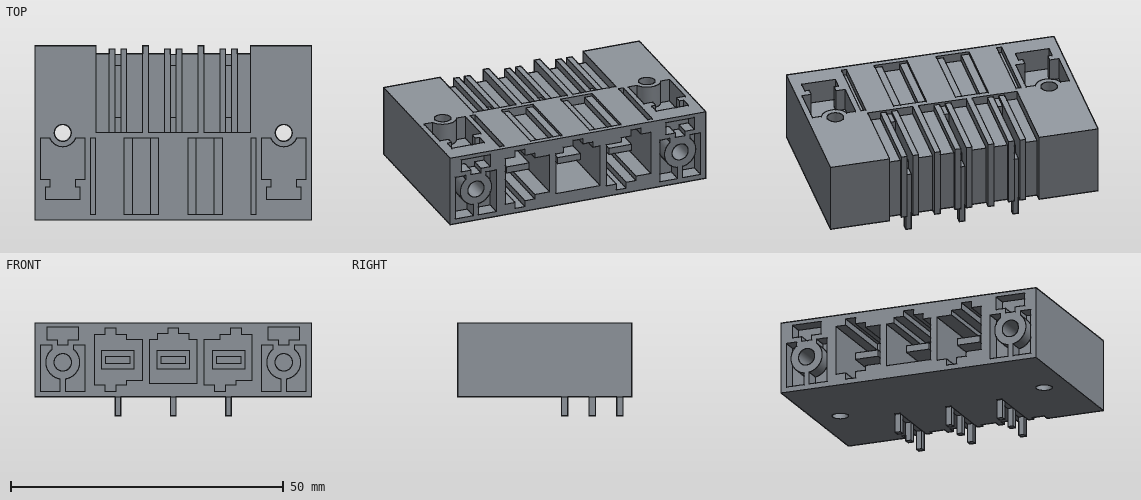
import cadquery as cq

LENGTH = 50.8
DEPTH = 32.0
HEIGHT = 13.6
MID_X = LENGTH / 2
MID_Z = HEIGHT / 2
PITCH = 10.16
POLE_CENTERS = [MID_X + k * PITCH for k in (-1, 0, 1)]

CAVITY_DEPTH = 15.0
CAVITY_WIDTH = 8.8
KEY_TOP_Z = 12.65
SHOULDER_HIGH_Z = 11.45
SHOULDER_LOW_Z = 10.55
OUTER_CAVITY_LEFT = 10.95
OUTER_KEY_START = 1.95
OUTER_KEY_END = 3.9
OUTER_STEP = 5.85
CENTER_KEY_HALF = 0.98
CENTER_STEP_HALF = 2.92
CENTER_HIGH_Z = 11.6
CENTER_FLOOR_Z = 2.45

FLANGE_X = 5.12
FRONT_POCKET_DEPTH = 3.0
RELIEF_HALF = 4.05
RELIEF_BOTTOM_Z = 1.0
RELIEF_TOP_Z = 9.5
TUBE_Z = 6.35
TUBE_RADIUS = 3.1
TUBE_BORE = 3.2
TUBE_BORE_DEPTH = 12.0
TUBE_NECK_WIDTH = 4.0
TUBE_WEB_WIDTH = 1.0
TEE_WIDTH = 5.7
TEE_BOTTOM_Z = 10.4
TEE_TOP_Z = 12.85
TEE_STEM_WIDTH = 1.95

MOUNT_HOLE = 3.05
MOUNT_HOLE_Y = 16.0
MOUNT_BOSS_RADIUS = 2.55
NUT_POCKET_DEPTH = 4.4
NUT_POCKET_HALF = 4.1
NUT_NECK_HALF = 2.35
NUT_FOOT_HALF = 3.2
NUT_POCKET_BACK_Y = 15.05
NUT_NECK_BACK_Y = 7.45
NUT_NECK_FRONT_Y = 6.05
NUT_FOOT_FRONT_Y = 3.75

CORE_FRONT_Y = 1.05
CORE_BACK_Y = 15.05
CORE_OUTER_EDGE = 9.0
CORE_INNER_EDGE = 2.75
CORE_DEEP_OUTER = 7.5
CORE_DEEP_INNER = 4.15
CORE_SHELF_DEPTH = 0.5
CORE_DEEP_DEPTH = 1.7
SIDE_SLOT_WIDTH = 0.95
SIDE_SLOT_X = 10.67
SIDE_SLOT_DEPTH = 1.2

RECESS_HALF = 14.17
RECESS_FRONT_Y = 16.1
RECESS_FLOOR_Z = HEIGHT - 1.65
RECESS_BACK_Y = 30.55
TALL_FIN_WIDTH = 1.1
PAIR_FIN_WIDTH = 1.1
PAIR_FIN_TOP_Z = HEIGHT - 0.4
PAIR_FIN_BACK_Y = 31.4
PAIR_SHELF_Z = HEIGHT - 0.93

PLATE_THICKNESS = 1.05
PLATE_FRONT_Y = 18.8
PLATE_STEP_Y = 28.35
PLATE_BACK_Y = 30.4
PLATE_TOP_Z = 10.0
ROOT_WIDTH = 6.0
ROOT_HEIGHT = 3.4
TAB_WIDTH = 4.5
TAB_HEIGHT = 1.25
TAB_FRONT_Y = 4.35
LEG_LENGTH = 3.5
LEG_DEPTH = 1.2
LEG_PITCH = 5.08
LEG_COUNT = 3


def block(x0, x1, y0, y1, z0, z1):
    """Axis-aligned box between two corners."""
    return cq.Workplane("XY").box(x1 - x0, y1 - y0, z1 - z0, centered=False).translate((x0, y0, z0))


def centered_block(x, width, y0, y1, z0, z1):
    """Box centred on x."""
    return block(x - width / 2, x + width / 2, y0, y1, z0, z1)


def from_front(points, depth):
    """Prism of an X-Z outline running back from the front face."""
    return cq.Workplane("XZ").polyline(points).close().extrude(-depth)


def rod_from_front(x, z, radius, depth):
    """Cylinder running back from the front face."""
    return cq.Workplane("XZ").center(x, z).circle(radius).extrude(-depth)


def mirrored(shape):
    """Copy of a shape at the other end of the housing."""
    return shape.mirror("YZ", (MID_X, 0, 0))


def outer_cavity():
    """First cavity, keyed alike at top and bottom."""
    left = OUTER_CAVITY_LEFT
    key_start = left + OUTER_KEY_START
    key_end = left + OUTER_KEY_END
    step = left + OUTER_STEP
    roof = [
        (left, SHOULDER_HIGH_Z),
        (key_start, SHOULDER_HIGH_Z),
        (key_start, KEY_TOP_Z),
        (key_end, KEY_TOP_Z),
        (key_end, SHOULDER_HIGH_Z),
        (step, SHOULDER_HIGH_Z),
        (step, SHOULDER_LOW_Z),
        (left + CAVITY_WIDTH, SHOULDER_LOW_Z),
    ]
    floor = [(x, HEIGHT - z) for x, z in reversed(roof)]
    return from_front(roof + floor, CAVITY_DEPTH)


def last_cavity():
    """Third cavity: the first one's roof mirrored, its floor keyed the other way round."""
    shift = LENGTH - 2 * OUTER_CAVITY_LEFT - CAVITY_WIDTH
    cavity = outer_cavity().translate((shift, 0, 0))
    lower_half = cavity.intersect(block(0, LENGTH, 0, DEPTH, 0, MID_Z))
    upper_half = mirrored(outer_cavity()).intersect(block(0, LENGTH, 0, DEPTH, MID_Z, HEIGHT))
    return lower_half.union(upper_half)


def center_cavity():
    """Middle cavity: stepped symmetric roof and a plain floor."""
    right_roof = [
        (CENTER_KEY_HALF, KEY_TOP_Z),
        (CENTER_KEY_HALF, CENTER_HIGH_Z),
        (CENTER_STEP_HALF, CENTER_HIGH_Z),
        (CENTER_STEP_HALF, SHOULDER_LOW_Z),
        (CAVITY_WIDTH / 2, SHOULDER_LOW_Z),
        (CAVITY_WIDTH / 2, CENTER_FLOOR_Z),
    ]
    right = [(MID_X + x, z) for x, z in right_roof]
    left = [(MID_X - x, z) for x, z in reversed(right_roof)]
    return from_front(right + left, CAVITY_DEPTH)


def flange_front_pockets():
    """Relief around the screw tube, tee slot above it and the tube's bore."""
    depth = FRONT_POCKET_DEPTH
    relief = centered_block(FLANGE_X, 2 * RELIEF_HALF, 0, depth, RELIEF_BOTTOM_Z, RELIEF_TOP_Z)
    tube = rod_from_front(FLANGE_X, TUBE_Z, TUBE_RADIUS, depth)
    neck = centered_block(FLANGE_X, TUBE_NECK_WIDTH, 0, depth, TUBE_Z, RELIEF_TOP_Z)
    web = centered_block(FLANGE_X, TUBE_WEB_WIDTH, 0, depth, RELIEF_BOTTOM_Z, TUBE_Z)
    relief = relief.cut(tube).cut(neck).cut(web)

    tee = centered_block(FLANGE_X, TEE_WIDTH, 0, depth, TEE_BOTTOM_Z, TEE_TOP_Z)
    stem = centered_block(FLANGE_X, TEE_STEM_WIDTH, 0, depth, RELIEF_TOP_Z, TEE_BOTTOM_Z)
    bore = rod_from_front(FLANGE_X, TUBE_Z, TUBE_BORE / 2, TUBE_BORE_DEPTH)
    return [relief, tee.union(stem), bore]


def flange_top_pockets():
    """Nut pocket around the mounting boss, and the vertical mounting hole."""
    floor_z = HEIGHT - NUT_POCKET_DEPTH

    def level(half_width, y0, y1):
        return centered_block(FLANGE_X, 2 * half_width, y0, y1, floor_z, HEIGHT)

    pocket = (
        level(NUT_POCKET_HALF, NUT_NECK_BACK_Y, NUT_POCKET_BACK_Y)
        .union(level(NUT_NECK_HALF, NUT_NECK_FRONT_Y, NUT_NECK_BACK_Y))
        .union(level(NUT_FOOT_HALF, NUT_FOOT_FRONT_Y, NUT_NECK_FRONT_Y))
    )
    axis = cq.Workplane("XY").center(FLANGE_X, MOUNT_HOLE_Y)
    boss = axis.circle(MOUNT_BOSS_RADIUS).extrude(HEIGHT)
    hole = axis.circle(MOUNT_HOLE / 2).extrude(HEIGHT)
    return [pocket.cut(boss), hole]


def top_cores():
    """Stepped coring pocket and narrow side slot of the left half."""
    def core(x0, x1, depth):
        return block(x0, x1, CORE_FRONT_Y, CORE_BACK_Y, HEIGHT - depth, HEIGHT)

    shelf = core(MID_X - CORE_OUTER_EDGE, MID_X - CORE_INNER_EDGE, CORE_SHELF_DEPTH)
    deep = core(MID_X - CORE_DEEP_OUTER, MID_X - CORE_DEEP_INNER, CORE_DEEP_DEPTH)
    slot_left = SIDE_SLOT_X - SIDE_SLOT_WIDTH / 2
    side_slot = core(slot_left, slot_left + SIDE_SLOT_WIDTH, SIDE_SLOT_DEPTH)
    return [shelf.union(deep), side_slot]


def finned_recess():
    """Material removed at the top and back, leaving fins that run down the back face."""
    width = 2 * RECESS_HALF
    recess = centered_block(MID_X, width, RECESS_FRONT_Y, DEPTH, RECESS_FLOOR_Z, HEIGHT)
    recess = recess.union(centered_block(MID_X, width, RECESS_BACK_Y, DEPTH, 0, HEIGHT))

    for side in (-1, 1):
        fin_x = MID_X + side * PITCH / 2
        recess = recess.cut(centered_block(fin_x, TALL_FIN_WIDTH, 0, DEPTH, 0, HEIGHT))

    pair_width = PLATE_THICKNESS + 2 * PAIR_FIN_WIDTH
    for x in POLE_CENTERS:
        pair = centered_block(x, pair_width, 0, PAIR_FIN_BACK_Y, 0, PAIR_FIN_TOP_Z)
        gap = centered_block(x, PLATE_THICKNESS, 0, DEPTH, PAIR_SHELF_Z, HEIGHT)
        plate_slot = centered_block(x, PLATE_THICKNESS, PLATE_FRONT_Y, DEPTH, 0, HEIGHT)
        recess = recess.cut(pair.cut(gap)).union(plate_slot)
    return recess


def terminal_root(x):
    """Thick part of a terminal, filling its hole from the cavity's back wall to the plate."""
    half_height = ROOT_HEIGHT / 2
    return centered_block(
        x, ROOT_WIDTH, CAVITY_DEPTH, PLATE_FRONT_Y, MID_Z - half_height, MID_Z + half_height
    )


def make_housing():
    """Block with all cavities, flange pockets, cores, finned recess and terminal holes cut out."""
    body = block(0, LENGTH, 0, DEPTH, 0, HEIGHT)
    for cavity in (outer_cavity(), center_cavity(), last_cavity()):
        body = body.cut(cavity)
    for cutter in flange_front_pockets() + flange_top_pockets() + top_cores():
        body = body.cut(cutter).cut(mirrored(cutter))
    body = body.cut(finned_recess())
    for x in POLE_CENTERS:
        body = body.cut(terminal_root(x))
    return body.solids().val()


def make_terminal(x):
    """Contact tab on a thicker root, upright plate and a row of solder legs."""
    root_top_z = MID_Z + ROOT_HEIGHT / 2
    tab = centered_block(
        x, TAB_WIDTH, TAB_FRONT_Y, CAVITY_DEPTH, MID_Z - TAB_HEIGHT / 2, MID_Z + TAB_HEIGHT / 2
    )
    plate = centered_block(x, PLATE_THICKNESS, PLATE_FRONT_Y, PLATE_STEP_Y, 0, PLATE_TOP_Z)
    plate_end = centered_block(x, PLATE_THICKNESS, PLATE_STEP_Y, PLATE_BACK_Y, 0, root_top_z)
    terminal = terminal_root(x).union(tab).union(plate).union(plate_end)
    for k in range(LEG_COUNT):
        leg_back_y = PLATE_BACK_Y - k * LEG_PITCH
        leg = centered_block(x, PLATE_THICKNESS, leg_back_y - LEG_DEPTH, leg_back_y, -LEG_LENGTH, 0)
        terminal = terminal.union(leg)
    return terminal.solids().val()


housing = make_housing()
terminals = [make_terminal(x) for x in POLE_CENTERS]
result = cq.Compound.makeCompound([housing, *terminals])